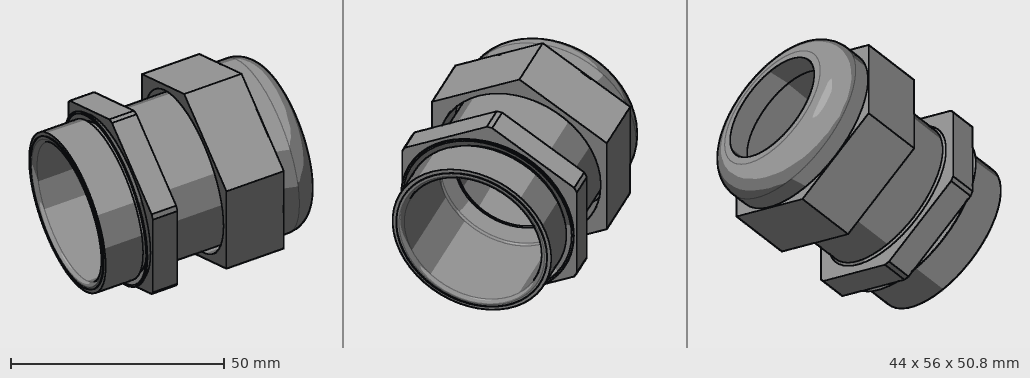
import cadquery as cq
import math


LENGTH = 56.0
HEX_FLATS = 44.0
HEX_CORNER_RADIUS = HEX_FLATS / 2 / math.cos(math.radians(30))

CORE_RADIUS = 19.0
THREAD_RADIUS = 20.0
THREAD_START_Y = 0.2
THREAD_END_Y = 10.0
BODY_HEX_Y = 11.6
BODY_HEX_HEIGHT = 6.45
BODY_HEX_END_Y = BODY_HEX_Y + BODY_HEX_HEIGHT
BODY_HEX_CORNER_CUT = 0.4
NECK_RADIUS = 19.1
NECK_CHAMFER = 0.55

LIP_ROOT_RADIUS = 20.8
LIP_TIP_RADIUS = 21.8
LIP_TIP_Y = 10.3
LIP_RIM_Y = 10.2
LIP_RIM_OUTER_RADIUS = LIP_TIP_RADIUS - (LIP_TIP_Y - LIP_RIM_Y)
LIP_RIM_INNER_RADIUS = 21.2

BORE_RADIUS = 17.35
BORE_DEPTH = 22.95
MOUTH_FILLET = 0.95
SHOULDER_ANGLE = math.radians(45)
SHOULDER_BEND_RADIUS = 1.0
SHOULDER_HOLE_RADIUS = 14.5
BEND_END_RADIUS = BORE_RADIUS - SHOULDER_BEND_RADIUS * (1 - math.cos(SHOULDER_ANGLE))
BEND_END_Y = BORE_DEPTH + SHOULDER_BEND_RADIUS * math.sin(SHOULDER_ANGLE)
SHOULDER_END_Y = BEND_END_Y + (BEND_END_RADIUS - SHOULDER_HOLE_RADIUS) / math.tan(SHOULDER_ANGLE)

CAP_HEX_Y = 30.9
CAP_HEX_HEIGHT = 15.05
DOME_RADIUS = 21.8
DOME_FILLET = 5.9
CAP_HOLE_RADIUS = 14.0
CAP_MOUTH_RADIUS = 20.5
CAP_MOUTH_DEPTH = 11.2
CAP_WALL = 5.6
CAP_POCKET_END_Y = LENGTH - CAP_WALL

SEAL_OUTER_RADIUS = BORE_RADIUS
SEAL_HOLE_RADIUS = CAP_HOLE_RADIUS


def turned(outline):
    """Solid made by turning a closed outline about the Y axis."""
    return outline.close().revolve(360, (0, 0, 0), (0, 1, 0))


def cylinder(radius, y_start, y_end):
    """Cylinder on the Y axis."""
    return cq.Workplane("XZ", origin=(0, y_start, 0)).circle(radius).extrude(y_start - y_end)


def hexagon(corner_radius, turn, y_start, height):
    """Hexagonal prism on the Y axis; a turn of 30 degrees puts its corners at top and bottom."""
    return (
        cq.Workplane("XZ", origin=(0, y_start, 0))
        .transformed(rotate=(0, 0, turn))
        .polygon(6, 2 * corner_radius)
        .extrude(-height)
    )


def make_body_hexagon():
    """Hexagon whose corners are cut flat by a second hexagon turned by 30 degrees."""
    trim_flat_radius = HEX_CORNER_RADIUS - BODY_HEX_CORNER_CUT
    trim_corner_radius = trim_flat_radius / math.cos(math.radians(30))
    trim = hexagon(trim_corner_radius, 0, BODY_HEX_Y, BODY_HEX_HEIGHT)
    return hexagon(HEX_CORNER_RADIUS, 30, BODY_HEX_Y, BODY_HEX_HEIGHT).intersect(trim)


def make_lip():
    """Dished lip that flares away from the hexagon, together with the core it surrounds."""
    return turned(
        cq.Workplane("XY")
        .moveTo(0, BODY_HEX_Y)
        .lineTo(LIP_ROOT_RADIUS, BODY_HEX_Y)
        .lineTo(LIP_TIP_RADIUS, LIP_TIP_Y)
        .lineTo(LIP_RIM_OUTER_RADIUS, LIP_RIM_Y)
        .lineTo(LIP_RIM_INNER_RADIUS, LIP_RIM_Y)
        .lineTo(CORE_RADIUS, BODY_HEX_Y)
        .lineTo(CORE_RADIUS, 0)
        .lineTo(0, 0)
    )


def make_neck():
    """Solid neck on the +Y side of the hexagon, with a small cone at its root."""
    return turned(
        cq.Workplane("XY")
        .moveTo(0, BODY_HEX_Y)
        .lineTo(NECK_RADIUS + NECK_CHAMFER, BODY_HEX_Y)
        .lineTo(NECK_RADIUS + NECK_CHAMFER, BODY_HEX_END_Y)
        .lineTo(NECK_RADIUS, BODY_HEX_END_Y + NECK_CHAMFER)
        .lineTo(NECK_RADIUS, CAP_POCKET_END_Y)
        .lineTo(0, CAP_POCKET_END_Y)
    )


def make_bore():
    """Cutter for the bore: rounded mouth, straight bore and conical shoulder."""
    return turned(
        cq.Workplane("XY")
        .lineTo(BORE_RADIUS + MOUTH_FILLET, 0)
        .radiusArc((BORE_RADIUS, MOUTH_FILLET), MOUTH_FILLET)
        .lineTo(BORE_RADIUS, BORE_DEPTH)
        .radiusArc((BEND_END_RADIUS, BEND_END_Y), -SHOULDER_BEND_RADIUS)
        .lineTo(SHOULDER_HOLE_RADIUS, SHOULDER_END_Y)
        .lineTo(0, SHOULDER_END_Y)
    )


def make_body():
    thread = cylinder(THREAD_RADIUS, THREAD_START_Y, THREAD_END_Y)
    seal_seat = cylinder(SEAL_OUTER_RADIUS, SHOULDER_END_Y, CAP_POCKET_END_Y)
    outside = make_body_hexagon().union(make_lip()).union(thread).union(make_neck())
    return outside.cut(make_bore()).cut(seal_seat)


def make_cap():
    dome = cylinder(DOME_RADIUS, CAP_HEX_Y, LENGTH).faces(">Y").edges().fillet(DOME_FILLET)
    mouth = cylinder(CAP_MOUTH_RADIUS, CAP_HEX_Y, CAP_HEX_Y + CAP_MOUTH_DEPTH)
    neck_pocket = cylinder(NECK_RADIUS, CAP_HEX_Y, CAP_POCKET_END_Y)
    cable_hole = cylinder(CAP_HOLE_RADIUS, CAP_HEX_Y, LENGTH)
    cap = hexagon(HEX_CORNER_RADIUS, 30, CAP_HEX_Y, CAP_HEX_HEIGHT).union(dome)
    return cap.cut(mouth).cut(neck_pocket).cut(cable_hole)


def make_seal():
    ring = cylinder(SEAL_OUTER_RADIUS, SHOULDER_END_Y, CAP_POCKET_END_Y)
    return ring.cut(cylinder(SEAL_HOLE_RADIUS, SHOULDER_END_Y, CAP_POCKET_END_Y))


body = make_body()
cap = make_cap()
seal = make_seal()
result = cq.Compound.makeCompound([body.val(), cap.val(), seal.val()])